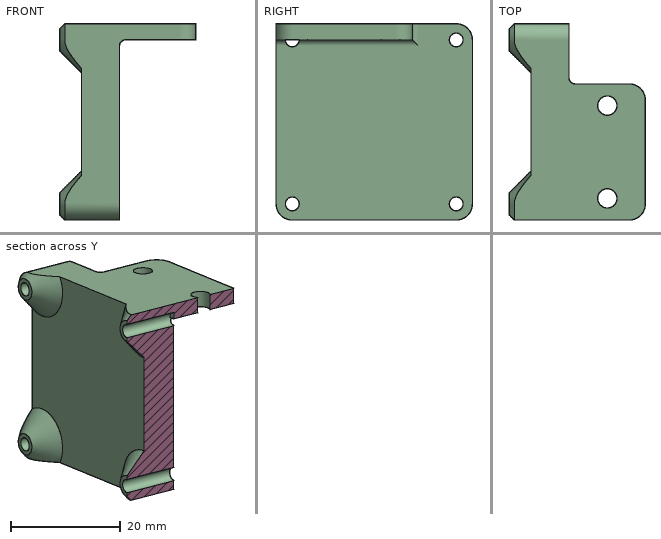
import cadquery as cq

plate_side = 36.0
boss_height = 4.0
plate_back = 11.0
corner_radius = 3.0
boss_tip_radius = 2.0
boss_hole_diameter = 2.5

flange_reach = 25.0
flange_width = 25.0
flange_thickness = corner_radius
inner_fillet = 1.08
flange_hole_diameter = 3.5
flange_hole_x = 18.0
flange_hole_ys = (4.0, 21.0)

near_center = corner_radius
far_center = plate_side - corner_radius
boss_centers = [(y, z) for y in (near_center, far_center) for z in (near_center, far_center)]
boss_base_radius = boss_tip_radius + boss_height
tip_chamfer = corner_radius - boss_tip_radius
flange_bottom = plate_side - flange_thickness


def corner_block(x_start):
    """Square plate with three rounded corners; the corner under the flange end stays sharp."""
    block = cq.Workplane("XY").box(plate_back - x_start, plate_side, plate_side, centered=False)
    block = block.translate((x_start, 0, 0))
    block = block.edges("|X and >Y").fillet(corner_radius)
    return block.edges("|X and <Y and <Z").fillet(corner_radius)


def conical_boss(y, z):
    """Truncated cone standing on the plate face with its tip at X = 0."""
    cone = cq.Solid.makeCone(
        boss_tip_radius, boss_base_radius, boss_height, cq.Vector(0, y, z), cq.Vector(1, 0, 0)
    )
    return cq.Workplane(obj=cone)


def square_boss_corner():
    """Block that squares off the boss at the sharp plate corner, bevelled like the cone."""
    block = cq.Workplane("XY").box(boss_height, corner_radius, corner_radius, centered=False)
    block = block.translate((0, 0, far_center))
    return block.edges("<X and (>Z or <Y)").chamfer(tip_chamfer)


def flange():
    """Mounting flange flush with the plate top, filleted where it meets the plate."""
    plate = cq.Workplane("XY").box(flange_reach, flange_width, flange_thickness, centered=False)
    plate = plate.edges("|Z and >X").fillet(corner_radius)
    plate = plate.translate((0, 0, flange_bottom))
    overlap = cq.Workplane("XY").box(plate_back, flange_width, plate_side, centered=False)
    return plate.cut(overlap)


def x_hole(y, z, length):
    """Boss hole cutter running along X from the boss tip."""
    return cq.Workplane("YZ").center(y, z).circle(boss_hole_diameter / 2).extrude(length)


bosses = square_boss_corner()
for center_y, center_z in boss_centers:
    bosses = bosses.union(conical_boss(center_y, center_z))
body = corner_block(boss_height).union(bosses.intersect(corner_block(0)))

body = body.union(flange())
root_under = cq.selectors.NearestToPointSelector((plate_back, flange_width / 2, flange_bottom))
body = body.edges(root_under).fillet(inner_fillet)
root_side = cq.selectors.NearestToPointSelector(
    (plate_back, flange_width, plate_side - flange_thickness / 2)
)
body = body.edges(root_side).fillet(inner_fillet)

hole_length = plate_back + inner_fillet
for center_y, center_z in boss_centers:
    body = body.cut(x_hole(center_y, center_z, hole_length))
body = body.union(flange())

for hole_y in flange_hole_ys:
    cutter = cq.Workplane("XY").center(flange_hole_x, hole_y).circle(flange_hole_diameter / 2)
    body = body.cut(cutter.extrude(plate_side))

result = body